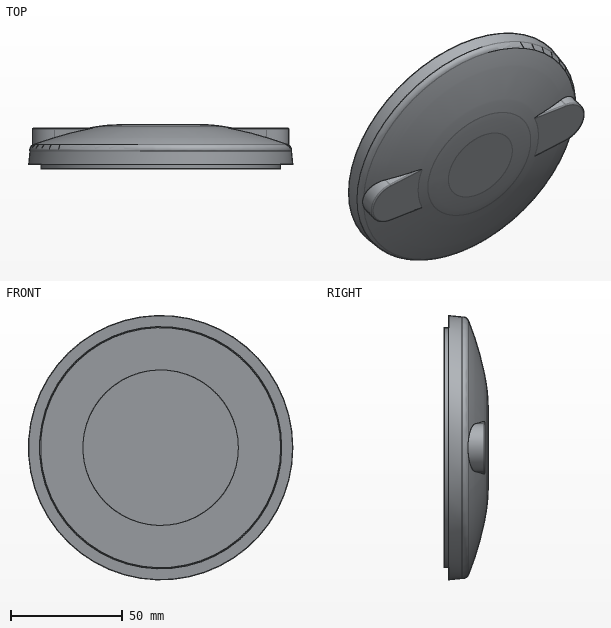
import cadquery as cq
import math

rim_radius = 59.5
rim_back_radius = 58.9
dome_radius = 57.4
crown_edge_radius = 28.0
crown_radius = 17.4
shoulder_bulge = 0.5
disc_radius = 108.0 / 2
groove_radius = 109.0 / 2
recess_radius = 70.0 / 2

total_depth = 20.0
rim_front = 2.0
rim_back = 8.0
dome_base = 11.0
crown_edge = 19.2
groove_depth = 0.4
recess_depth = 0.2

arm_length = 57.7
arm_end_radius = 10.8
arm_taper = math.radians(4)
arm_back = 18.3
arm_edge_fillet = 0.6

front_y = -total_depth / 2


def cylinder(radius, start, depth):
    """Disc about the Y axis, extending toward +Y from a level above the front face."""
    plane = cq.Plane(origin=(0, front_y + start, 0), xDir=(1, 0, 0), normal=(0, 1, 0))
    return cq.Workplane(plane).circle(radius).extrude(depth)


def make_body():
    """Drafted rim, rounded shoulder and dome, with a rounded edge around the flat crown."""
    shoulder_mid = (
        (rim_back_radius + dome_radius) / 2 + shoulder_bulge,
        (rim_back + dome_base) / 2 + shoulder_bulge / 2,
    )
    return (
        cq.Workplane("XY", origin=(0, front_y, 0))
        .moveTo(0, rim_front)
        .lineTo(0, total_depth)
        .lineTo(crown_radius, total_depth)
        .tangentArcPoint((crown_edge_radius, crown_edge), relative=False)
        .tangentArcPoint((dome_radius, dome_base), relative=False)
        .threePointArc(shoulder_mid, (rim_back_radius, rim_back))
        .lineTo(rim_radius, rim_front)
        .close()
        .revolve(360, (0, 0, 0), (0, 1, 0))
    )


def make_arm(side):
    """Round-ended arm whose sides widen toward the centre; side is +1 or -1 along X."""
    end_centre = arm_length - arm_end_radius
    tangent_x = end_centre + arm_end_radius * math.sin(arm_taper)
    tangent_z = arm_end_radius * math.cos(arm_taper)
    root_z = tangent_z + tangent_x * math.tan(arm_taper)
    plane = cq.Plane(origin=(0, front_y + rim_back, 0), xDir=(side, 0, 0), normal=(0, 1, 0))
    return (
        cq.Workplane(plane)
        .moveTo(0, root_z)
        .lineTo(tangent_x, tangent_z)
        .threePointArc((arm_length, 0), (tangent_x, -tangent_z))
        .lineTo(0, -root_z)
        .close()
        .extrude(arm_back - rim_back)
        .faces(">Y")
        .edges()
        .fillet(arm_edge_fillet)
    )


result = make_body()
for arm_side in (-1, 1):
    result = result.union(make_arm(arm_side))

result = result.cut(cylinder(groove_radius, rim_front, groove_depth))
result = result.union(cylinder(disc_radius, 0, rim_front + groove_depth))
result = result.cut(cylinder(recess_radius, 0, recess_depth))